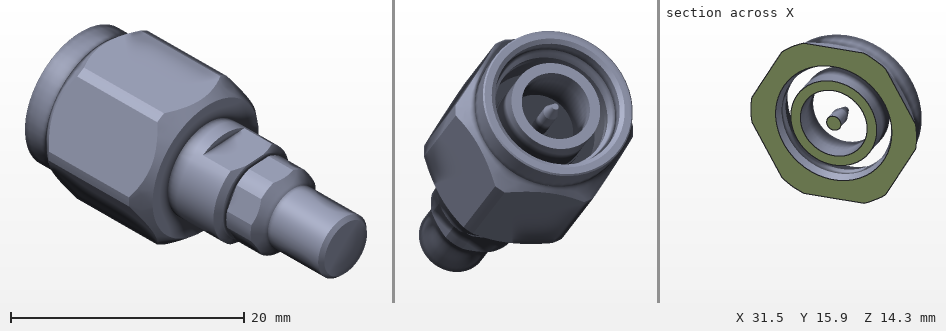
import cadquery as cq
import math

collar_end = 2.52
nut_end = 15.05
flats_start = 17.17
body_end = 20.9
small_hex_start = 21.3
small_hex_cone_end = 25.2
length = 31.5

collar_dia = 13.45
collar_edge = 0.13
nut_corner_dia = 15.95
nut_across_flats = 14.27
nut_end_dia = 13.35
nut_cone_length = 1.58

mouth_dia = 11.95
bore_dia = 11.18
thread_crest_dia = 10.1
mouth_cone_end = 0.25
lead_in_start = 1.55
thread_start = 2.08
thread_pitch = 0.95
thread_count = 4
bore_depth = thread_start + thread_count * thread_pitch

sleeve_dia = 7.97
sleeve_bore_dia = 6.1
sleeve_start = 0.7
sleeve_floor = 5.67
sleeve_shoulder_dia = 8.2
sleeve_shoulder_start = 5.35
pin_dia = 1.35
pin_tip_dia = 0.57
pin_tip = 0.82
pin_cone_end = 2.15
pin_base_dia = 1.85
pin_base_height = 0.15

body_dia = 9.5
body_across_flats = 7.97
body_chamfer_length = 0.47
body_chamfer_depth = 0.63
neck_dia = 6.95

small_hex_corner_dia = 8.2
small_hex_across_flats = 7.8
cable_dia = 6.1
cable_chamfer = 0.38


def revolve(profile):
    """Revolve (x, radius) points around the X axis."""
    return cq.Workplane("XY").polyline(profile).close().revolve(360, (0, 0, 0), (1, 0, 0))


def cylinder(start, end, dia):
    return cq.Workplane("YZ").workplane(offset=start).circle(dia / 2).extrude(end - start)


def hexagon(start, end, across_flats):
    """Hexagonal bar with corners on the Y axis."""
    corner_dia = across_flats / math.cos(math.pi / 6)
    return cq.Workplane("YZ").workplane(offset=start).polygon(6, corner_dia).extrude(end - start)


def make_nut():
    end_r = nut_end_dia / 2
    corner_r = nut_corner_dia / 2
    envelope = revolve([
        (collar_end, 0),
        (collar_end, end_r),
        (collar_end + nut_cone_length, corner_r),
        (nut_end - nut_cone_length, corner_r),
        (nut_end, end_r),
        (nut_end, 0),
    ])
    collar = cylinder(0, collar_end, collar_dia).faces("<X").chamfer(collar_edge)
    return hexagon(collar_end, nut_end, nut_across_flats).intersect(envelope).union(collar)


def make_nut_bore():
    """Bore with a lead-in cone and a row of V-shaped rings for the thread."""
    bore_r = bore_dia / 2
    crest_r = thread_crest_dia / 2
    profile = [
        (0, 0),
        (0, mouth_dia / 2),
        (mouth_cone_end, bore_r),
        (lead_in_start, bore_r),
        (thread_start, crest_r),
    ]
    for i in range(thread_count):
        start = thread_start + i * thread_pitch
        profile.append((start + thread_pitch / 2, bore_r))
        profile.append((start + thread_pitch, crest_r))
    profile.append((bore_depth, 0))
    return revolve(profile)


def make_sleeve():
    sleeve = cylinder(sleeve_start, bore_depth, sleeve_dia)
    sleeve = sleeve.union(cylinder(sleeve_shoulder_start, bore_depth, sleeve_shoulder_dia))
    return sleeve.cut(cylinder(sleeve_start, sleeve_floor, sleeve_bore_dia))


def make_pin():
    pin = revolve([
        (pin_tip, 0),
        (pin_tip, pin_tip_dia / 2),
        (pin_cone_end, pin_dia / 2),
        (bore_depth, pin_dia / 2),
        (bore_depth, 0),
    ])
    return pin.union(cylinder(sleeve_floor - pin_base_height, bore_depth, pin_base_dia))


def make_body():
    body_r = body_dia / 2
    body = revolve([
        (nut_end, 0),
        (nut_end, body_r),
        (body_end - body_chamfer_length, body_r),
        (body_end, body_r - body_chamfer_depth),
        (body_end, 0),
    ])
    flats_length = body_end - flats_start
    flatted = cq.Workplane("XY").box(flats_length, body_dia, body_across_flats)
    flatted = flatted.translate((flats_start + flats_length / 2, 0, 0))
    flatted = flatted.union(cylinder(nut_end, flats_start, body_dia))
    return body.intersect(flatted).union(cylinder(body_end, small_hex_start, neck_dia))


def make_small_hex():
    corner_r = small_hex_corner_dia / 2
    cable_r = cable_dia / 2
    envelope = revolve([
        (small_hex_start, 0),
        (small_hex_start, corner_r),
        (small_hex_cone_end - (corner_r - cable_r), corner_r),
        (small_hex_cone_end, cable_r),
        (small_hex_cone_end, 0),
    ])
    return hexagon(small_hex_start, small_hex_cone_end, small_hex_across_flats).intersect(envelope)


def make_cable_sleeve():
    return cylinder(small_hex_cone_end, length, cable_dia).faces(">X").chamfer(cable_chamfer)


result = (
    make_nut()
    .cut(make_nut_bore())
    .union(make_sleeve())
    .union(make_pin())
    .union(make_body())
    .union(make_small_hex())
    .union(make_cable_sleeve())
)